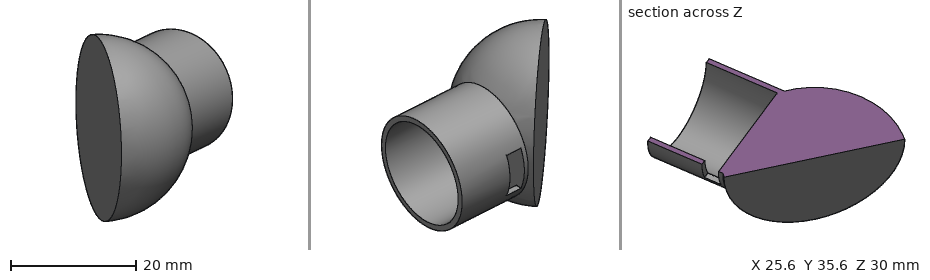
import cadquery as cq

BALL_RADIUS = 15.0
CUT_ANGLE = 45.0

SOCKET_RADIUS = 10.0
SOCKET_END_Y = 25.0
SOCKET_ROOT_Y = SOCKET_RADIUS
WALL_THICKNESS = 1.0
BORE_RADIUS = SOCKET_RADIUS - WALL_THICKNESS

WINDOW_START_Y = 12.0
WINDOW_LENGTH = 3.0
WINDOW_HEIGHT = 8.0

BORE_FLOOR_Y = WINDOW_START_Y


def cylinder_along_y(radius, start_y, end_y):
    """Solid cylinder centred on the Y axis."""
    base = cq.Workplane("XZ", origin=(0, start_y, 0))
    return base.circle(radius).extrude(start_y - end_y)


def half_ball():
    """Half of the ball, with its flat face turned towards -X and -Y."""
    ball = cq.Workplane("XY").sphere(BALL_RADIUS)
    size = 2 * BALL_RADIUS
    kept_half = cq.Workplane("XY").box(size, size, size, centered=(True, False, True))
    kept_half = kept_half.rotate((0, 0, 0), (0, 0, 1), -CUT_ANGLE)
    return ball.intersect(kept_half)


def socket():
    """Outer body of the socket, rooted inside the half ball."""
    return cylinder_along_y(SOCKET_RADIUS, SOCKET_ROOT_Y, SOCKET_END_Y)


def bore():
    """Blind bore, open at the +Y end of the socket."""
    return cylinder_along_y(BORE_RADIUS, BORE_FLOOR_Y, SOCKET_END_Y)


def window():
    """Cutter reaching from the bore axis out through the -X wall."""
    return (
        cq.Workplane("XY")
        .box(SOCKET_RADIUS, WINDOW_LENGTH, WINDOW_HEIGHT, centered=(False, False, True))
        .translate((-SOCKET_RADIUS, WINDOW_START_Y, 0))
    )


result = half_ball().union(socket()).cut(bore()).cut(window())